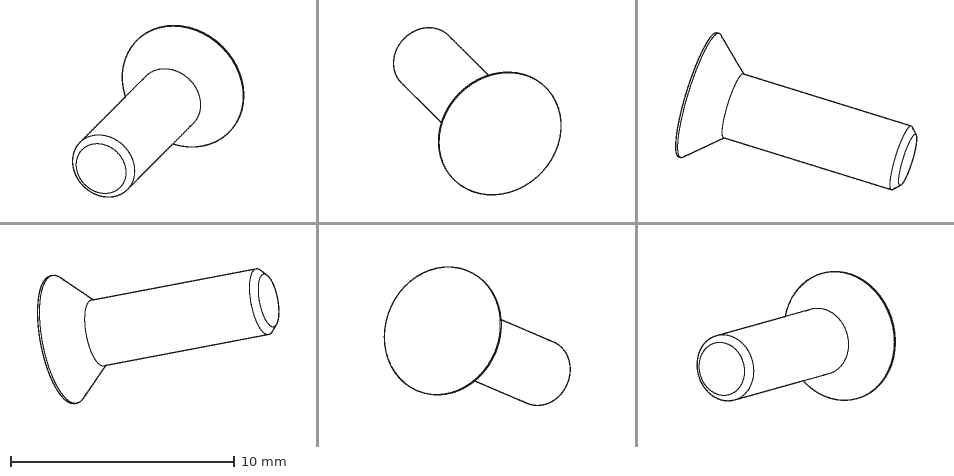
import cadquery as cq

length = 10.0
head_diameter = 5.83
shank_diameter = 3.0
rim_thickness = 0.1
head_height = 1.7
tip_chamfer = 0.3

head_radius = head_diameter / 2
shank_radius = shank_diameter / 2

tip_y = -length / 2
head_face_y = length / 2
rim_y = head_face_y - rim_thickness
neck_y = head_face_y - head_height

half_profile = (
    cq.Workplane("XY")
    .moveTo(0, tip_y)
    .lineTo(shank_radius - tip_chamfer, tip_y)
    .lineTo(shank_radius, tip_y + tip_chamfer)
    .lineTo(shank_radius, neck_y)
    .lineTo(head_radius, rim_y)
    .lineTo(head_radius, head_face_y)
    .lineTo(0, head_face_y)
    .close()
)

result = half_profile.revolve(360, (0, 0, 0), (0, 1, 0))